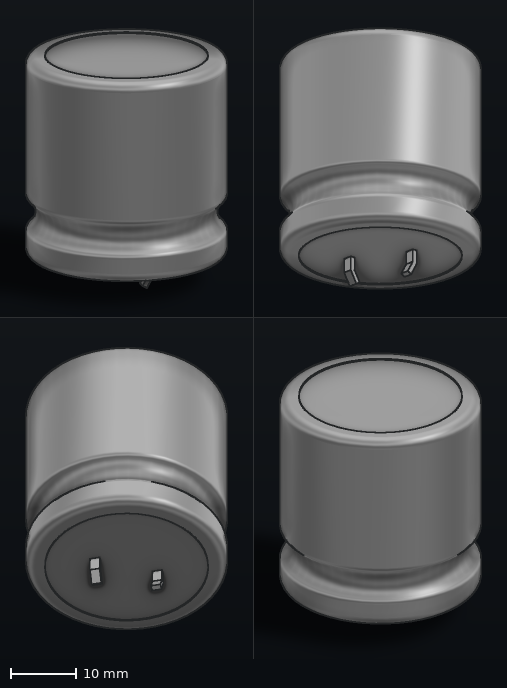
import cadquery as cq
import math

total_height = 36.0
outer_diameter = 31.0
pin_drop = 4.0
corner_radius = 1.5
sleeve_thickness = 0.2
sleeve_opening_radius = 12.53

groove_height = 7.0
groove_depth = 1.5
groove_radius = 3.0
groove_blend_radius = 1.0

pin_spacing = 10.0
pin_width = 1.5
pin_thickness = 0.8
pin_turn = -30.0
pin_tilt = 30.0
pin_bend_drop = 2.0

outer_radius = outer_diameter / 2
groove_z = pin_drop + groove_height
can_bottom = pin_drop + sleeve_thickness


def arc_point(center, radius, angle):
    """Point in the radius-height plane at an angle in degrees from outward."""
    turn = math.radians(angle)
    return (center[0] + radius * math.cos(turn), center[1] + radius * math.sin(turn))


def grooved_cylinder(inset):
    """Rounded, grooved solid whose surface lies inset below the sleeve's surface."""
    wall = outer_radius - inset
    bottom = pin_drop + inset
    top = total_height - inset
    corner = corner_radius - inset
    throat = groove_radius + inset
    blend = groove_blend_radius - inset

    throat_center = (outer_radius - groove_depth + groove_radius, groove_z)
    blend_x = outer_radius - groove_blend_radius
    blend_angle = math.degrees(math.acos((throat_center[0] - blend_x) / (throat + blend)))
    blend_offset = (throat + blend) * math.sin(math.radians(blend_angle))
    lower_blend = (blend_x, groove_z - blend_offset)
    upper_blend = (blend_x, groove_z + blend_offset)
    lower_corner = (wall - corner, bottom + corner)
    upper_corner = (wall - corner, top - corner)

    profile = (
        cq.Workplane("XZ")
        .moveTo(0, bottom)
        .lineTo(lower_corner[0], bottom)
        .threePointArc(arc_point(lower_corner, corner, -45), (wall, lower_corner[1]))
        .lineTo(wall, lower_blend[1])
        .threePointArc(arc_point(lower_blend, blend, blend_angle / 2),
                       arc_point(lower_blend, blend, blend_angle))
        .threePointArc(arc_point(throat_center, throat, 180),
                       arc_point(upper_blend, blend, -blend_angle))
        .threePointArc(arc_point(upper_blend, blend, -blend_angle / 2), (wall, upper_blend[1]))
        .lineTo(wall, upper_corner[1])
        .threePointArc(arc_point(upper_corner, corner, 45), (upper_corner[0], top))
        .lineTo(0, top)
        .close()
    )
    return profile.revolve(360, (0, 0, 0), (0, 1, 0))


def make_can():
    return grooved_cylinder(sleeve_thickness)


def make_sleeve(can):
    """Thin skin around the can, open at both ends."""
    opening = cq.Workplane("XY").circle(sleeve_opening_radius).extrude(total_height)
    return grooved_cylinder(0).cut(can).cut(opening)


def make_pin(side):
    """Bent strip under the can; side is -1 or 1 along X, tips lean inward."""
    tilt = math.radians(pin_tilt)
    half = pin_thickness / 2
    outer_bend_z = pin_drop - pin_bend_drop
    inner_bend_z = outer_bend_z + pin_thickness * math.tan(tilt / 2)
    outer_tip = -half + outer_bend_z * math.tan(tilt)
    inner_tip = outer_tip + pin_thickness * math.cos(tilt)
    inner_tip_z = pin_thickness * math.sin(tilt)

    strip = (
        cq.Workplane("YZ")
        .polyline([
            (-half, can_bottom),
            (-half, outer_bend_z),
            (outer_tip, 0),
            (inner_tip, inner_tip_z),
            (half, inner_bend_z),
            (half, can_bottom),
        ])
        .close()
        .extrude(pin_width / 2, both=True)
    )
    facing = pin_turn if side < 0 else pin_turn + 180
    return (
        strip
        .rotate((0, 0, 0), (0, 0, 1), facing)
        .translate((side * pin_spacing / 2, 0, 0))
    )


can = make_can()
sleeve = make_sleeve(can)
pins = [make_pin(side) for side in (-1, 1)]

result = cq.Compound.makeCompound([can.val(), sleeve.val(), *[pin.val() for pin in pins]])